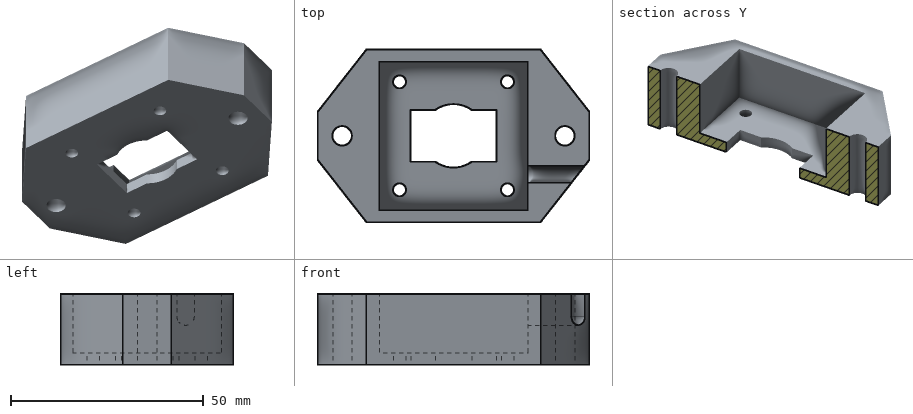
import cadquery as cq

body_length = 70.48
body_height = 18.41
wall_thickness = 3.175
pocket_size = 38.5
body_width = pocket_size + 2 * wall_thickness
side_flat_length = 45.15
ear_end_width = 12.5

floor_thickness = 3.175
pocket_depth = body_height - floor_thickness

window_length = 22.3
window_width = 13.4
window_circle_diameter = 16.4

floor_hole_diameter = 3.3
floor_hole_spacing = 28.0
ear_hole_diameter = 5.0
ear_hole_edge_distance = 6.35
ear_hole_spacing = body_length - 2 * ear_hole_edge_distance

channel_width = 4.5
channel_depth = 8.1
channel_center_y = -9.95


def make_body():
    half_length = body_length / 2
    half_width = body_width / 2
    half_flat = side_flat_length / 2
    half_end = ear_end_width / 2
    outline = [
        (half_length, -half_end),
        (half_length, half_end),
        (half_flat, half_width),
        (-half_flat, half_width),
        (-half_length, half_end),
        (-half_length, -half_end),
        (-half_flat, -half_width),
        (half_flat, -half_width),
    ]
    return cq.Workplane("XY").polyline(outline).close().extrude(body_height)


def make_pocket():
    pocket_floor = cq.Workplane("XY", origin=(0, 0, floor_thickness))
    return pocket_floor.rect(pocket_size, pocket_size).extrude(pocket_depth)


def make_window():
    rectangle = cq.Workplane("XY").rect(window_length, window_width).extrude(floor_thickness)
    circle = cq.Workplane("XY").circle(window_circle_diameter / 2).extrude(floor_thickness)
    return rectangle.union(circle)


def make_floor_holes():
    centers = cq.Workplane("XY").rect(floor_hole_spacing, floor_hole_spacing, forConstruction=True).vertices()
    return centers.circle(floor_hole_diameter / 2).extrude(floor_thickness)


def make_ear_holes():
    centers = cq.Workplane("XY").pushPoints([(side * ear_hole_spacing / 2, 0) for side in (-1, 1)])
    return centers.circle(ear_hole_diameter / 2).extrude(body_height)


def make_channel():
    radius = channel_width / 2
    bottom_z = body_height - channel_depth
    outer_y = channel_center_y - radius
    inner_y = channel_center_y + radius
    profile = (
        cq.Workplane("YZ")
        .moveTo(outer_y, body_height)
        .lineTo(outer_y, bottom_z + radius)
        .threePointArc((channel_center_y, bottom_z), (inner_y, bottom_z + radius))
        .lineTo(inner_y, body_height)
        .close()
    )
    return profile.extrude(body_length / 2)


result = (
    make_body()
    .cut(make_pocket())
    .cut(make_window())
    .cut(make_floor_holes())
    .cut(make_ear_holes())
    .cut(make_channel())
)